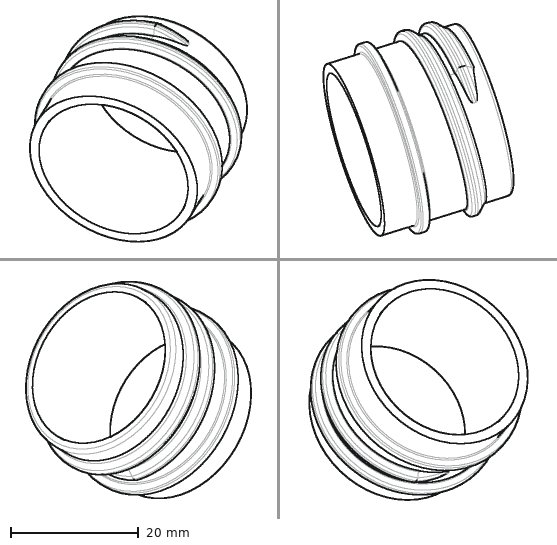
import cadquery as cq

length = 21.67
collar_radius = 15.57
body_radius = 14.1
bore_radius = 12.55
mouth_fillet = 0.62

collar_start = 14.65
collar_end = 16.07
collar_upper_slope = 0.28
collar_edge_fillet = 0.25
collar_root_fillet = 0.22

thread_start_depth = 3.83
pitch = 4.1
turns = 1.5
crest_radius = 15.55
crest_width = 1.18
upper_flank_width = 1.4
lower_flank_width = 0.4
upper_crest_fillet = 0.93
lower_crest_fillet = 0.47
upper_root_fillet = 0.93
lower_root_fillet = 0.25
toe_width = 0.47
embed = 0.03
core_radius = 13.4

runout_angle = 23.0
runout_steps = 4
runout_sink = crest_radius - body_radius + embed

ORIGIN = cq.Vector(0, 0, 0)
AXIS = cq.Vector(0, 0, 1)


def rounded_wire(corners):
    """Closed outline from (radius, depth, fillet) corners in the local xz plane."""
    points = [cq.Vector(radius, 0, depth) for radius, depth, _ in corners]
    wire = cq.Wire.makePolygon(points, close=True)
    for point, (_, _, fillet) in zip(points, corners):
        if fillet > 0:
            nearest = min(wire.Vertices(), key=lambda v: (v.Center() - point).Length)
            wire = wire.fillet2D(fillet, [nearest])
    return wire


def make_body():
    """Solid neck with a rounded mouth edge and a support collar."""
    outline = rounded_wire([
        (0, 0, 0),
        (body_radius, 0, mouth_fillet),
        (body_radius, collar_start - collar_upper_slope, collar_root_fillet),
        (collar_radius, collar_start, collar_edge_fillet),
        (collar_radius, collar_end, collar_edge_fillet),
        (body_radius, collar_end, collar_root_fillet),
        (body_radius, length, 0),
        (0, length, 0),
    ])
    return cq.Workplane(cq.Solid.revolve(outline, [], 360, ORIGIN, AXIS))


def thread_profile(sink=0.0):
    """Thread section centred on its crest, moved inward by the sink."""
    foot = body_radius - embed - sink
    inner = core_radius - sink
    crest = crest_radius - sink
    crest_end = crest_width / 2
    upper_foot = -crest_end - upper_flank_width
    lower_foot = crest_end + lower_flank_width
    return rounded_wire([
        (inner, upper_foot - toe_width, 0),
        (foot, upper_foot - toe_width, 0),
        (foot, upper_foot, upper_root_fillet),
        (crest, -crest_end, upper_crest_fillet),
        (crest, crest_end, lower_crest_fillet),
        (foot, lower_foot, lower_root_fillet),
        (foot, lower_foot + toe_width, 0),
        (inner, lower_foot + toe_width, 0),
    ])


def make_thread():
    """Full-height helical thread."""
    path = cq.Wire.makeHelix(pitch, pitch * turns, body_radius)
    return cq.Solid.sweep(thread_profile(), [], path, True, True)


def make_runout(start_angle, direction):
    """Thread end that follows the helix while sinking into the wall."""
    sections = []
    for step in range(runout_steps + 1):
        fraction = step / runout_steps
        angle = start_angle + direction * runout_angle * fraction
        section = thread_profile(runout_sink * fraction).rotate(ORIGIN, AXIS, angle)
        sections.append(section.translate(AXIS * (pitch * angle / 360)))
    return cq.Solid.makeLoft(sections)


neck = make_body()
thread_pieces = [make_thread(), make_runout(0, -1), make_runout(360 * turns, 1)]
for piece in thread_pieces:
    neck = neck.union(cq.Workplane(piece.translate(AXIS * thread_start_depth)))
neck = neck.cut(cq.Workplane("XY").circle(bore_radius).extrude(length))

mouth_plane = cq.Plane(origin=(0, length, 0), xDir=(0, 0, 1), normal=(0, -1, 0))
result = cq.Workplane(neck.val().moved(cq.Location(mouth_plane)))